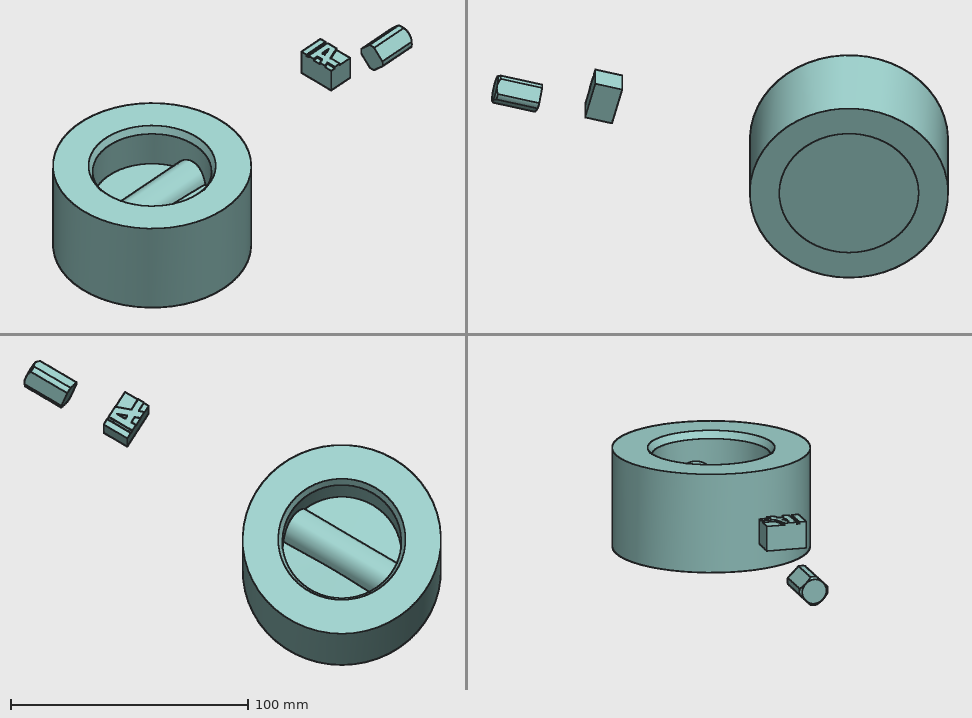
import cadquery as cq

housing_diameter = 83.5
housing_radius = housing_diameter / 2
housing_height = 43.0
mid_height = housing_height / 2
bore_radius = 25.0
bore_mouth_radius = 26.8
bore_chamfer_height = 3.1

disc_radius = 29.4
cone_rise = 1.5
grip_radius = 8.8
grip_height = mid_height
cone_apex_height = 25.0
disc_rim_height = cone_apex_height - cone_rise

overall_length = 195.8
bar_end_y = overall_length - housing_radius
bar_length = 19.0
bar_side = 10.5
bar_corner_radius = 6.3
bar_chamfer = 1.0

block_width = 17.2
block_depth = 11.7
block_height = 11.5
block_base = 28.8
block_center_y = 106.7
engraving_depth = 0.8
groove_left = -5.7
groove_width = 1.2
stem_right = -1.5
crossbar_top = -0.5
crossbar_bottom = -3.5
stroke_lean = 0.38
stroke_left_at_center = -0.2
stroke_right_at_center = 3.0


def make_knob():
    disc = (
        cq.Workplane("XZ")
        .polyline([(0, 0), (disc_radius, 0), (disc_radius, disc_rim_height), (0, cone_apex_height)])
        .close()
        .revolve(360, (0, 0), (0, 1))
    )
    grip = (
        cq.Workplane("XZ")
        .center(0, grip_height)
        .circle(grip_radius)
        .extrude(disc_radius, both=True)
    )
    envelope = cq.Workplane("XY").circle(disc_radius).extrude(housing_height)
    return disc.union(grip.intersect(envelope))


def make_housing(knob):
    """Chamfered ring with a recess that matches the knob."""
    chamfer_base = housing_height - bore_chamfer_height
    ring = (
        cq.Workplane("XZ")
        .polyline([
            (bore_radius, 0),
            (housing_radius, 0),
            (housing_radius, housing_height),
            (bore_mouth_radius, housing_height),
            (bore_radius, chamfer_base),
        ])
        .close()
        .revolve(360, (0, 0), (0, 1))
    )
    return ring.cut(knob)


def make_drive_bar():
    start = cq.Workplane("XZ", origin=(0, bar_end_y, mid_height))
    rounded_bar = start.circle(bar_corner_radius).extrude(bar_length).faces(">Y").chamfer(bar_chamfer)
    square_bar = start.transformed(rotate=(0, 0, 45)).rect(bar_side, bar_side).extrude(bar_length)
    return rounded_bar.intersect(square_bar)


def make_block():
    """Block whose top is engraved around a stem, a leaning stroke and a crossbar."""
    half_width = block_width / 2
    half_depth = block_depth / 2

    def stroke_left(y):
        return stroke_left_at_center - stroke_lean * y

    def stroke_right(y):
        return stroke_right_at_center - stroke_lean * y

    groove_right = groove_left + groove_width
    groove = [
        (groove_left, -half_depth),
        (groove_right, -half_depth),
        (groove_right, half_depth),
        (groove_left, half_depth),
    ]
    triangle = [
        (stem_right, crossbar_top),
        (stroke_left(crossbar_top), crossbar_top),
        (stem_right, (stroke_left_at_center - stem_right) / stroke_lean),
    ]
    rear_right = [
        (stroke_right(half_depth), half_depth),
        (stroke_right(crossbar_top), crossbar_top),
        (half_width, crossbar_top),
        (half_width, half_depth),
    ]
    front_middle = [
        (stem_right, -half_depth),
        (stroke_left(-half_depth), -half_depth),
        (stroke_left(crossbar_bottom), crossbar_bottom),
        (stem_right, crossbar_bottom),
    ]
    front_right = [
        (stroke_right(-half_depth), -half_depth),
        (half_width, -half_depth),
        (half_width, crossbar_bottom),
        (stroke_right(crossbar_bottom), crossbar_bottom),
    ]

    base = cq.Workplane("XY", origin=(0, block_center_y, block_base))
    block = base.rect(block_width, block_depth).extrude(block_height)
    top = base.workplane(offset=block_height)
    for outline in (groove, triangle, rear_right, front_middle, front_right):
        block = block.cut(top.polyline(outline).close().extrude(-engraving_depth))
    return block


knob = make_knob()
housing = make_housing(knob)
drive_bar = make_drive_bar()
block = make_block()

result = cq.Compound.makeCompound([housing.val(), knob.val(), drive_bar.val(), block.val()])